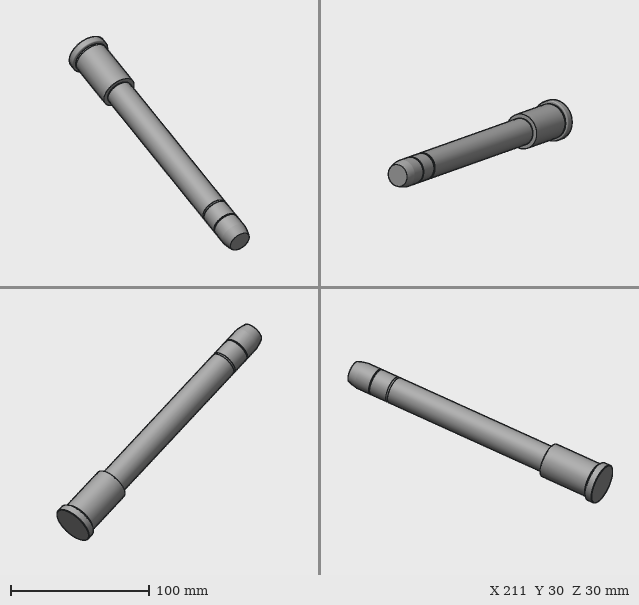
import cadquery as cq

length = 211.0
head_diameter = 30.0
sleeve_diameter = 26.0
shaft_diameter = 20.0

head_thickness = 6.0
head_rounding = 0.8
front_chamfer = 0.5
relief_width = 1.3
relief_depth = 0.06
sleeve_end = 45.0
lead_in_length = 5.5
lead_in_depth = 0.05

grooves = [(sleeve_end, 0.6), (176.2, 1.5), (191.4, 0.8)]
groove_depth = 0.2

tip_length = 7.5
tip_drop = 2.0
tip_bulge = 0.2

head_radius = head_diameter / 2
sleeve_radius = sleeve_diameter / 2
shaft_radius = shaft_diameter / 2


def ring_groove(start, width, outer_radius, depth):
    """Ring to cut from a cylinder of the given radius."""
    return (
        cq.Workplane("YZ", origin=(start, 0, 0))
        .circle(outer_radius)
        .circle(outer_radius - depth)
        .extrude(width)
    )


def make_head():
    """Disc with a chamfered front edge and a rounded edge on the sleeve side."""
    head = cq.Workplane("YZ").circle(head_radius).extrude(head_thickness)
    head = head.faces("<X").edges().chamfer(front_chamfer)
    return head.faces(">X").edges().fillet(head_rounding)


def make_sleeve():
    """Cylinder with a very slight lead-in cone and a relief beside the head."""
    lead_in_start = sleeve_end - lead_in_length
    profile = [
        (0, 0),
        (0, sleeve_radius),
        (lead_in_start, sleeve_radius),
        (sleeve_end, sleeve_radius - lead_in_depth),
        (sleeve_end, 0),
    ]
    sleeve = cq.Workplane("XY").polyline(profile).close().revolve(360, (0, 0), (1, 0))
    return sleeve.cut(ring_groove(head_thickness, relief_width, sleeve_radius, relief_depth))


def make_shaft():
    """Grooved shaft with a tapered tip."""
    tip_start = length - tip_length
    tip_middle = (length - tip_length / 2, shaft_radius - tip_drop / 2 + tip_bulge)
    shaft = (
        cq.Workplane("XY")
        .lineTo(0, shaft_radius)
        .lineTo(tip_start, shaft_radius)
        .threePointArc(tip_middle, (length, shaft_radius - tip_drop))
        .lineTo(length, 0)
        .close()
        .revolve(360, (0, 0), (1, 0))
    )
    for start, width in grooves:
        shaft = shaft.cut(ring_groove(start, width, shaft_radius, groove_depth))
    return shaft


result = make_head().union(make_sleeve()).union(make_shaft())